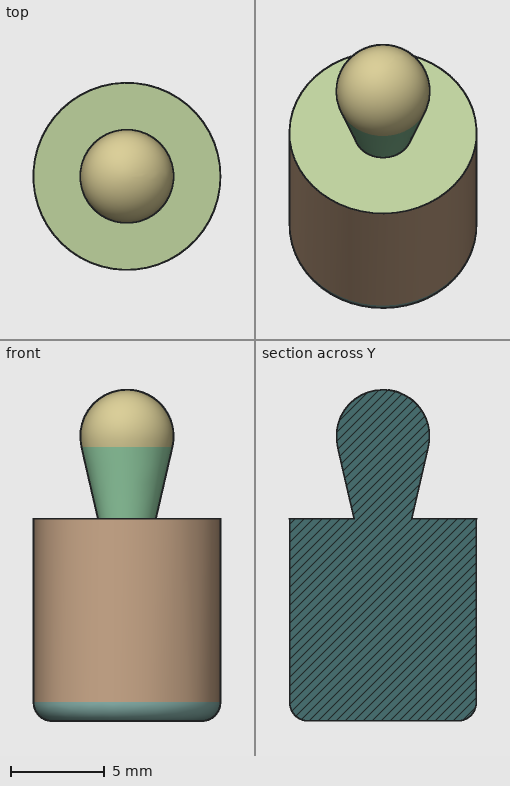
import cadquery as cq
import math

total_height = 17.7
body_diameter = 10.0
body_height = 10.81
bottom_fillet = 1.01
ball_diameter = body_diameter / 2
neck_half_angle = 13.0

body_radius = body_diameter / 2
ball_radius = ball_diameter / 2
ball_center_z = total_height - ball_radius

angle = math.radians(neck_half_angle)
tangent_radius = ball_radius * math.cos(angle)
tangent_z = ball_center_z - ball_radius * math.sin(angle)
neck_radius = tangent_radius - (tangent_z - body_height) * math.tan(angle)


def make_body():
    """Cylinder with a rounded bottom edge."""
    cylinder = cq.Workplane("XY").circle(body_radius).extrude(body_height)
    return cylinder.faces("<Z").edges().fillet(bottom_fillet)


def make_pin():
    """Ball-ended conical neck, revolved about the Z axis."""
    profile = (
        cq.Workplane("XZ")
        .moveTo(0, body_height)
        .lineTo(neck_radius, body_height)
        .lineTo(tangent_radius, tangent_z)
        .threePointArc((ball_radius, ball_center_z), (0, total_height))
        .close()
    )
    return profile.revolve(360, (0, 0, 0), (0, 1, 0))


result = make_body().union(make_pin())